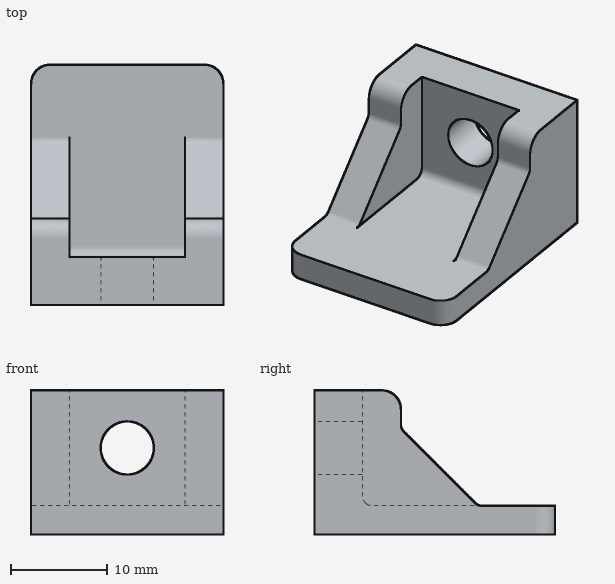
import cadquery as cq

width = 20.0
depth = 25.0
height = 15.0

base_thickness = 3.0
wall_thickness = 5.0
gusset_thickness = 4.0
gusset_top_depth = 9.0
gusset_foot_depth = 17.0
gusset_shoulder_height = base_thickness + gusset_foot_depth - gusset_top_depth

base_corner_radius = 2.0
gusset_top_radius = 2.0
inner_fillet_radius = 1.0

hole_diameter = 5.5
hole_height = 9.0


def extrude_across(profile_points, span):
    """Extrude a closed (Y, Z) profile symmetrically about X = 0."""
    return cq.Workplane("YZ").polyline(profile_points).close().extrude(span / 2, both=True)


def edges_at(y, z):
    """Select the edges along X that pass through the given (Y, Z) position."""
    reach = 0.1
    return cq.selectors.BoxSelector(
        (-width, y - reach, z - reach),
        (width, y + reach, z + reach),
    )


def make_gusseted_body():
    """Base plate and full-width sloped block, with the slope corners rounded."""
    body = extrude_across(
        [
            (0, 0),
            (depth, 0),
            (depth, base_thickness),
            (gusset_foot_depth, base_thickness),
            (gusset_top_depth, gusset_shoulder_height),
            (gusset_top_depth, height),
            (0, height),
        ],
        width,
    )
    body = body.edges("|Z and >Y").fillet(base_corner_radius)
    body = body.edges(edges_at(gusset_top_depth, height)).fillet(gusset_top_radius)
    body = body.edges(edges_at(gusset_top_depth, gusset_shoulder_height)).fillet(inner_fillet_radius)
    return body.edges(edges_at(gusset_foot_depth, base_thickness)).fillet(inner_fillet_radius)


def make_pocket():
    """Space between the gussets, rounded where the wall meets the base."""
    pocket_width = width - 2 * gusset_thickness
    pocket = extrude_across(
        [
            (wall_thickness, base_thickness),
            (depth, base_thickness),
            (depth, height),
            (wall_thickness, height),
        ],
        pocket_width,
    )
    return pocket.edges(edges_at(wall_thickness, base_thickness)).fillet(inner_fillet_radius)


def make_wall_hole():
    """Round hole through the wall, along Y."""
    return (
        cq.Workplane("XZ")
        .center(0, hole_height)
        .circle(hole_diameter / 2)
        .extrude(-depth)
    )


result = make_gusseted_body().cut(make_pocket()).cut(make_wall_hole())